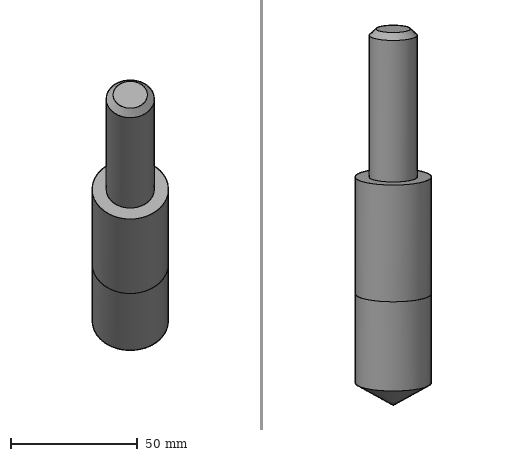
import cadquery as cq

total_length = 152.4
body_diameter = 30.2
shank_diameter = 19.0

cone_height = 9.1
joint_height = 45.3
shoulder_height = 92.5

chamfer_length = 2.6
chamfer_width = 2.7

body_radius = body_diameter / 2
shank_radius = shank_diameter / 2


def revolve_about_z(profile_points):
    """Turn a closed (radius, height) outline into a solid around Z."""
    return cq.Workplane("XZ").polyline(profile_points).close().revolve(360, (0, 0), (0, 1))


def make_tip():
    """Lower cylinder ending in a conical point at the origin."""
    return revolve_about_z([
        (0, 0),
        (body_radius, cone_height),
        (body_radius, joint_height),
        (0, joint_height),
    ])


def make_holder():
    """Upper cylinder that sits on the tip and carries the chamfered shank."""
    return revolve_about_z([
        (0, joint_height),
        (body_radius, joint_height),
        (body_radius, shoulder_height),
        (shank_radius, shoulder_height),
        (shank_radius, total_length - chamfer_length),
        (shank_radius - chamfer_width, total_length),
        (0, total_length),
    ])


tip = make_tip()
holder = make_holder()

result = cq.Compound.makeCompound([tip.val(), holder.val()])